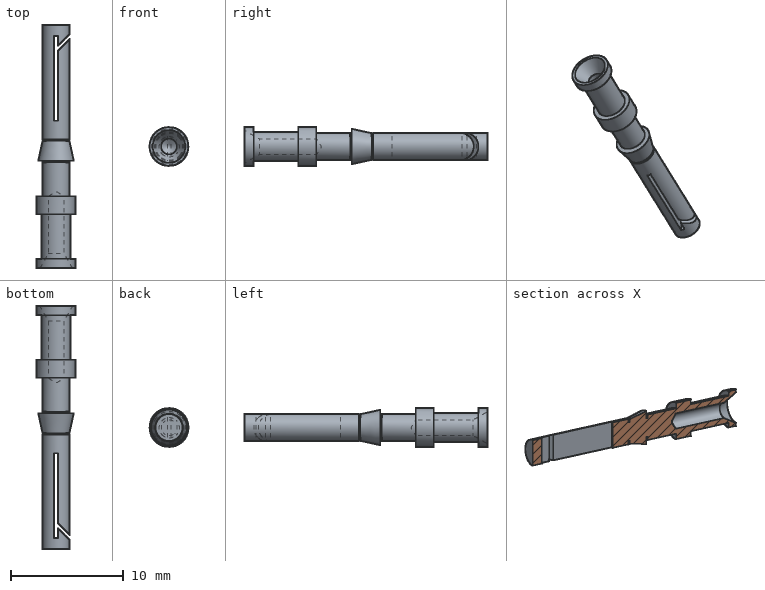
import cadquery as cq
import math

total_length = 21.6
entry_flange_end = 0.82
collar_start = 4.78
collar_end = 6.4
rear_neck_start = 9.39
cone_start = 9.53
cone_end = 11.3
front_neck_end = 11.43

flange_diameter = 3.47
barrel_diameter = 2.6
sleeve_diameter = 2.44
neck_diameter = 1.8
cone_large_diameter = 3.18
cone_small_diameter = 2.4

funnel_diameter = 2.9
bore_diameter = 1.4
funnel_angle = 60.0
bore_end = 6.4
drill_point_angle = 118.0

slot_width = 0.33
slot_start = 13.1
slot_end = 20.6

slit_width = 0.3
slit_angle = 45.0
slit_root = 19.36

through_length = 2 * sleeve_diameter

start_y = -total_length / 2


def along(distance):
    """Y coordinate of a point at a distance from the wire-entry face."""
    return start_y + distance


def revolve_profile(stations):
    """Revolve (radius, distance) stations about Y; the first and last lie on the axis."""
    points = [(radius, along(distance)) for radius, distance in stations]
    return cq.Workplane("XY").polyline(points).close().revolve(360, (0, 0, 0), (0, 1, 0))


def make_body():
    """Turned outside with entry flange, collar and retention cone."""
    return revolve_profile([
        (0, 0),
        (flange_diameter / 2, 0),
        (flange_diameter / 2, entry_flange_end),
        (barrel_diameter / 2, entry_flange_end),
        (barrel_diameter / 2, collar_start),
        (flange_diameter / 2, collar_start),
        (flange_diameter / 2, collar_end),
        (sleeve_diameter / 2, collar_end),
        (sleeve_diameter / 2, rear_neck_start),
        (neck_diameter / 2, rear_neck_start),
        (neck_diameter / 2, cone_start),
        (cone_large_diameter / 2, cone_start),
        (cone_small_diameter / 2, cone_end),
        (neck_diameter / 2, cone_end),
        (neck_diameter / 2, front_neck_end),
        (sleeve_diameter / 2, front_neck_end),
        (sleeve_diameter / 2, total_length),
        (0, total_length),
    ])


def make_wire_cavity():
    """Funnel leading into a blind crimp bore with a drill point."""
    bore_radius = bore_diameter / 2
    funnel_radius = funnel_diameter / 2
    funnel_depth = (funnel_radius - bore_radius) / math.tan(math.radians(funnel_angle / 2))
    point_depth = bore_radius / math.tan(math.radians(drill_point_angle / 2))
    return revolve_profile([
        (0, 0),
        (funnel_radius, 0),
        (bore_radius, funnel_depth),
        (bore_radius, bore_end),
        (0, bore_end + point_depth),
    ])


def make_spring_slot():
    """Lengthwise slot through the sleeve, closed at both ends."""
    slot_middle = (slot_start + slot_end) / 2
    return (
        cq.Workplane("XY")
        .box(slot_width, slot_end - slot_start, through_length)
        .translate((0, along(slot_middle), 0))
    )


def make_slit():
    """Oblique slit opening the spring slot to the +X side."""
    return (
        cq.Workplane("XY")
        .box(through_length, slit_width, through_length, centered=(False, True, True))
        .rotate((0, 0, 0), (0, 0, 1), slit_angle)
        .translate((0, along(slit_root), 0))
    )


result = make_body().cut(make_wire_cavity()).cut(make_spring_slot()).cut(make_slit())